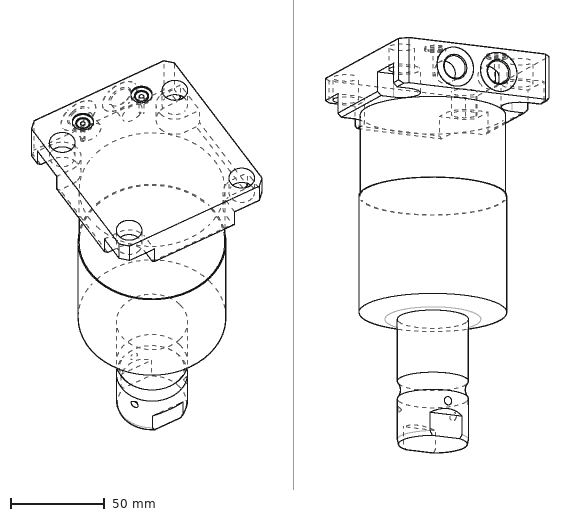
import cadquery as cq
import math

TOTAL_HEIGHT = 207.0

BLOCK_LENGTH = 100.0
BLOCK_WIDTH = 88.8
BLOCK_HEIGHT = 25.0
BLOCK_LEFT = -55.5
BLOCK_RIGHT = BLOCK_LEFT + BLOCK_LENGTH
BLOCK_BOTTOM = TOTAL_HEIGHT - BLOCK_HEIGHT
CORNER_CHAMFER = 4.1
LOWER_EDGE_CHAMFER = 2.0

BOLT_PITCH = 70.0
BOLT_LEFT_X = BLOCK_LEFT + 20.5
BOLT_RIGHT_X = BOLT_LEFT_X + BOLT_PITCH
BOLT_DIAMETER = 13.7
SEAT_DIAMETER = 20.0
SEAT_HEIGHT = 12.8

PORT_Y = 12.8
PORT_DROP = 13.0
PORT_Z = TOTAL_HEIGHT - PORT_DROP
PORT_DIAMETER = 12.5
PORT_DEPTH = 13.2
PORT_CHAMFER = 0.6
SPOTFACE_DIAMETER = 21.5
SPOTFACE_DEPTH = 0.2

TOP_PORT_X = BLOCK_LEFT + 13.9
TOP_PORT_Y = 18.2
SEAL_MEAN_RADIUS = 4.8
SEAL_SECTION_RADIUS = 0.93
SEAL_CREST_DEPTH = 0.2
SEAT_RING_RADIUS = 3.3
SEAT_RING_DEPTH = 1.5
SEAT_FLOOR_DEPTH = 1.7
DRILLING_RADIUS = 1.2
DRILLING_DEPTH = PORT_DROP + 2.3

UPPER_RADIUS = 39.0
LOWER_RADIUS = 39.5
CONE_END_RADIUS = 25.7
UPPER_BOTTOM = 137.2
LOWER_BOTTOM = 72.9
CONE_BOTTOM = 69.1

ROD_RADIUS = 19.0
GROOVE_TOP = 34.8
GROOVE_BOTTOM = 25.3
GROOVE_DEPTH = 1.7
ROD_CHAMFER_HEIGHT = 2.5
ROD_CHAMFER_WIDTH = 0.6

FLAT_DISTANCE = 16.5
FLAT_TOP = 12.6

DIMPLE_Z = 19.5
DIMPLE_RADIUS = 2.3
DIMPLE_COUNT = 3


def make_block():
    """Block with four chamfered corners and lower edges bevelled on the -Y, +Y and +X sides."""
    blank = (
        cq.Workplane("XY", origin=((BLOCK_LEFT + BLOCK_RIGHT) / 2, 0, BLOCK_BOTTOM))
        .box(BLOCK_LENGTH, BLOCK_WIDTH, BLOCK_HEIGHT, centered=(True, True, False))
    )
    with_corners = blank.edges("|Z").chamfer(CORNER_CHAMFER)
    with_bevels = blank.faces("<Z").edges("<Y or >Y or >X").chamfer(LOWER_EDGE_CHAMFER)
    return with_corners.intersect(with_bevels)


def make_seat(x, y):
    """Round seat that opens to the nearest Y side, and to +X for the right-hand holes."""
    radius = SEAT_DIAMETER / 2
    side = math.copysign(1, y)
    plane = cq.Workplane("XY", origin=(x, y, BLOCK_BOTTOM))
    seat = plane.circle(radius).extrude(SEAT_HEIGHT)
    seat = seat.union(plane.center(0, side * radius / 2).rect(SEAT_DIAMETER, radius).extrude(SEAT_HEIGHT))
    if x > 0:
        seat = seat.union(plane.center(radius / 2, 0).rect(radius, SEAT_DIAMETER).extrude(SEAT_HEIGHT))
    return seat


def cut_mounting_holes(block):
    for x in (BOLT_LEFT_X, BOLT_RIGHT_X):
        for y in (-BOLT_PITCH / 2, BOLT_PITCH / 2):
            hole = (
                cq.Workplane("XY", origin=(x, y, BLOCK_BOTTOM))
                .circle(BOLT_DIAMETER / 2)
                .extrude(BLOCK_HEIGHT)
            )
            block = block.cut(hole).cut(make_seat(x, y))
    return block


def make_side_port(y):
    """Blind bore with a chamfered mouth and a shallow spotface."""
    radius = PORT_DIAMETER / 2
    mouth = SPOTFACE_DEPTH + PORT_CHAMFER
    return (
        cq.Workplane("XY", origin=(BLOCK_LEFT, y, PORT_Z))
        .moveTo(0, 0)
        .lineTo(0, SPOTFACE_DIAMETER / 2)
        .lineTo(SPOTFACE_DEPTH, SPOTFACE_DIAMETER / 2)
        .lineTo(SPOTFACE_DEPTH, radius + PORT_CHAMFER)
        .lineTo(mouth, radius)
        .lineTo(PORT_DEPTH, radius)
        .lineTo(PORT_DEPTH, 0)
        .close()
        .revolve(360, (0, 0, 0), (1, 0, 0))
    )


def make_top_port(y):
    """Recess around a half-round seal ring, a stepped seat and a drilling into the side port."""
    seal_outer = SEAL_MEAN_RADIUS + SEAL_SECTION_RADIUS
    seal_inner = SEAL_MEAN_RADIUS - SEAL_SECTION_RADIUS
    seal_foot_z = -SEAL_CREST_DEPTH - SEAL_SECTION_RADIUS
    return (
        cq.Workplane("XZ", origin=(TOP_PORT_X, y, TOTAL_HEIGHT))
        .moveTo(0, 0)
        .lineTo(seal_outer, 0)
        .lineTo(seal_outer, seal_foot_z)
        .threePointArc((SEAL_MEAN_RADIUS, -SEAL_CREST_DEPTH), (seal_inner, seal_foot_z))
        .lineTo(seal_inner, -SEAT_RING_DEPTH)
        .lineTo(SEAT_RING_RADIUS, -SEAT_RING_DEPTH)
        .lineTo(SEAT_RING_RADIUS, -SEAT_FLOOR_DEPTH)
        .lineTo(DRILLING_RADIUS, -SEAT_FLOOR_DEPTH)
        .lineTo(DRILLING_RADIUS, -DRILLING_DEPTH)
        .lineTo(0, -DRILLING_DEPTH)
        .close()
        .revolve(360, (0, 0, 0), (0, 1, 0))
    )


def make_cylinder_and_rod():
    groove_middle = (GROOVE_TOP + GROOVE_BOTTOM) / 2
    return (
        cq.Workplane("XZ")
        .moveTo(0, 0)
        .lineTo(ROD_RADIUS - ROD_CHAMFER_WIDTH, 0)
        .lineTo(ROD_RADIUS, ROD_CHAMFER_HEIGHT)
        .lineTo(ROD_RADIUS, GROOVE_BOTTOM)
        .threePointArc((ROD_RADIUS - GROOVE_DEPTH, groove_middle), (ROD_RADIUS, GROOVE_TOP))
        .lineTo(ROD_RADIUS, CONE_BOTTOM)
        .lineTo(CONE_END_RADIUS, CONE_BOTTOM)
        .lineTo(LOWER_RADIUS, LOWER_BOTTOM)
        .lineTo(LOWER_RADIUS, UPPER_BOTTOM)
        .lineTo(UPPER_RADIUS, UPPER_BOTTOM)
        .lineTo(UPPER_RADIUS, BLOCK_BOTTOM)
        .lineTo(0, BLOCK_BOTTOM)
        .close()
        .revolve(360, (0, 0, 0), (0, 1, 0))
    )


def make_flat_cutter():
    """Material removed for the +X flat; its upper end slopes outward at 45 degrees."""
    run_out = ROD_RADIUS - FLAT_DISTANCE
    return (
        cq.Workplane("XZ", origin=(0, ROD_RADIUS, 0))
        .moveTo(FLAT_DISTANCE, 0)
        .lineTo(ROD_RADIUS, 0)
        .lineTo(ROD_RADIUS, FLAT_TOP + run_out)
        .lineTo(FLAT_DISTANCE, FLAT_TOP)
        .close()
        .extrude(2 * ROD_RADIUS)
    )


def make_dimple():
    """Conical dimple in the -X side of the rod with a 90 degree point."""
    return (
        cq.Workplane("XY", origin=(-ROD_RADIUS, 0, DIMPLE_Z))
        .moveTo(0, 0)
        .lineTo(0, DIMPLE_RADIUS)
        .lineTo(DIMPLE_RADIUS, 0)
        .close()
        .revolve(360, (0, 0, 0), (1, 0, 0))
    )


def rotate_about_axis(shape, angle):
    return shape.rotate((0, 0, 0), (0, 0, 1), angle)


result = cut_mounting_holes(make_block()).union(make_cylinder_and_rod())

for side in (-1, 1):
    result = result.cut(make_side_port(side * PORT_Y))
    result = result.cut(make_top_port(side * TOP_PORT_Y))

for angle in (0, 180):
    result = result.cut(rotate_about_axis(make_flat_cutter(), angle))

for index in range(DIMPLE_COUNT):
    result = result.cut(rotate_about_axis(make_dimple(), index * 360 / DIMPLE_COUNT))